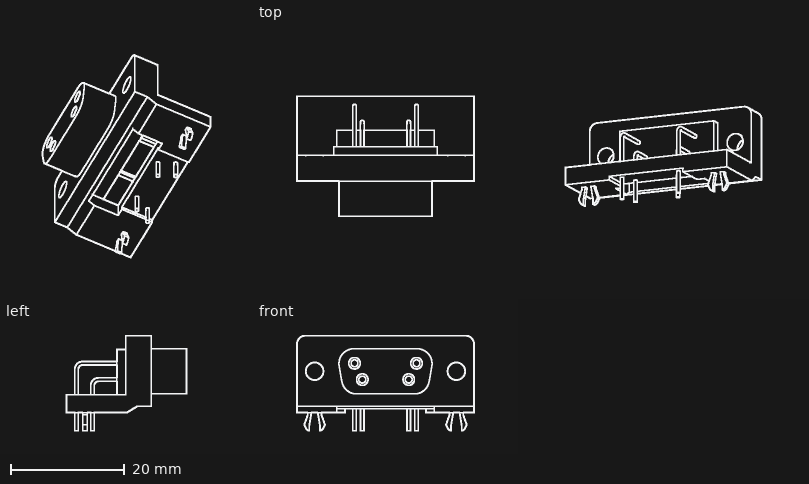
import cadquery as cq
import math


width = 31.2
base_back = 14.98
base_height = 3.15
flange_depth = 4.52
flange_top = 13.55
flange_bottom = 1.1
flange_corner_radius = 1.47
slope_front = 2.45
slope_back = 4.27

mount_x = 12.48
mount_z = 7.27
mount_diameter = 3.05

window_width = 17.15
window_front = 3.18
window_back = 8.95
groove_width = 14.23
groove_height = 0.65

block_width = 18.22
block_back = 6.08
block_top = 11.1

nose_length = 6.2
nose_top = 11.23
nose_bottom = 3.28
nose_top_half_width = 8.7
nose_side_angle = 10.0
nose_corner_radius = 2.62

pin_diameter = 0.65
bend_radius = 1.1
leg_length = 3.25
upper_row = {"x": 5.45, "y": 13.2, "z": 8.67}
lower_row = {"x": 4.1, "y": 10.4, "z": 5.8}
socket_mouth_diameter = 2.03
socket_floor_diameter = 1.22
socket_depth = (socket_mouth_diameter - socket_floor_diameter) / 2

clip_center_y = 11.7
clip_thickness = 0.8
clip_root = 0.3
prong_inner_top = (0.53, 0)
prong_inner_bend = (0.9, -2.18)
prong_tip = (prong_inner_bend[0], -leg_length)
prong_tip_arc_middle = (1.28, -3.1)
prong_tip_arc_end = (1.53, -2.78)
prong_barb = (1.85, -2.15)
prong_outer_top = (1.22, -0.4)


def box(x_size, y_front, y_back, z_bottom, z_top):
    """Box centred on X between the given Y and Z limits."""
    return (
        cq.Workplane("XY", origin=(0, (y_front + y_back) / 2, z_bottom))
        .rect(x_size, y_back - y_front)
        .extrude(z_top - z_bottom)
    )


def make_shell():
    side_profile = [
        (0, flange_bottom),
        (0, flange_top),
        (flange_depth, flange_top),
        (flange_depth, base_height),
        (base_back, base_height),
        (base_back, 0),
        (slope_back, 0),
        (slope_front, flange_bottom),
    ]
    shell = cq.Workplane("YZ").polyline(side_profile).close().extrude(width / 2, both=True)
    shell = shell.edges("|Y").edges(">Z").fillet(flange_corner_radius)
    window = box(window_width, window_front, window_back, 0, base_height)
    groove = box(groove_width, window_front, base_back, 0, groove_height)
    holes = (
        cq.Workplane("XZ")
        .pushPoints([(-mount_x, mount_z), (mount_x, mount_z)])
        .circle(mount_diameter / 2)
        .extrude(-flange_depth)
    )
    return shell.cut(window).cut(groove).cut(holes)


def make_nose():
    taper = (nose_top - nose_bottom) * math.tan(math.radians(nose_side_angle))
    bottom_half_width = nose_top_half_width - taper
    outline = [
        (-nose_top_half_width, nose_top),
        (nose_top_half_width, nose_top),
        (bottom_half_width, nose_bottom),
        (-bottom_half_width, nose_bottom),
    ]
    nose = cq.Workplane("XZ").polyline(outline).close().extrude(nose_length)
    return nose.edges("|Y").fillet(nose_corner_radius)


def make_socket(x, z):
    """Conical lead-in with a flat floor, cut into the nose front."""
    return (
        cq.Workplane("XZ", origin=(x, -nose_length, z))
        .circle(socket_mouth_diameter / 2)
        .workplane(offset=-socket_depth)
        .circle(socket_floor_diameter / 2)
        .loft()
    )


def make_pin(x, y, z):
    """Right-angle pin from inside the block, down through the base."""
    bend_inset = bend_radius * (1 - math.sqrt(0.5))
    path = (
        cq.Workplane("YZ", origin=(x, 0, 0))
        .moveTo(flange_depth, z)
        .lineTo(y - bend_radius, z)
        .threePointArc((y - bend_inset, z - bend_inset), (y, z - bend_radius))
        .lineTo(y, -leg_length)
    )
    start = cq.Workplane("XZ", origin=(x, flange_depth, z))
    return start.circle(pin_diameter / 2).sweep(path)


def make_clip_prong():
    """Right-hand prong of a clip centred on X = 0."""
    return (
        cq.Workplane("XZ", origin=(0, clip_center_y + clip_thickness / 2, 0))
        .moveTo(prong_inner_top[0], clip_root)
        .lineTo(*prong_inner_top)
        .lineTo(*prong_inner_bend)
        .lineTo(*prong_tip)
        .threePointArc(prong_tip_arc_middle, prong_tip_arc_end)
        .lineTo(*prong_barb)
        .lineTo(*prong_outer_top)
        .lineTo(prong_outer_top[0], clip_root)
        .close()
        .extrude(clip_thickness)
    )


result = make_shell()
result = result.union(box(block_width, flange_depth, block_back, base_height, block_top))
result = result.union(make_nose())

right_prong = make_clip_prong()
left_prong = right_prong.mirror("YZ")
for side in (-1, 1):
    for row in (upper_row, lower_row):
        result = result.cut(make_socket(side * row["x"], row["z"]))
        result = result.union(make_pin(side * row["x"], row["y"], row["z"]))
    for prong in (left_prong, right_prong):
        result = result.union(prong.translate((side * mount_x, 0, 0)))